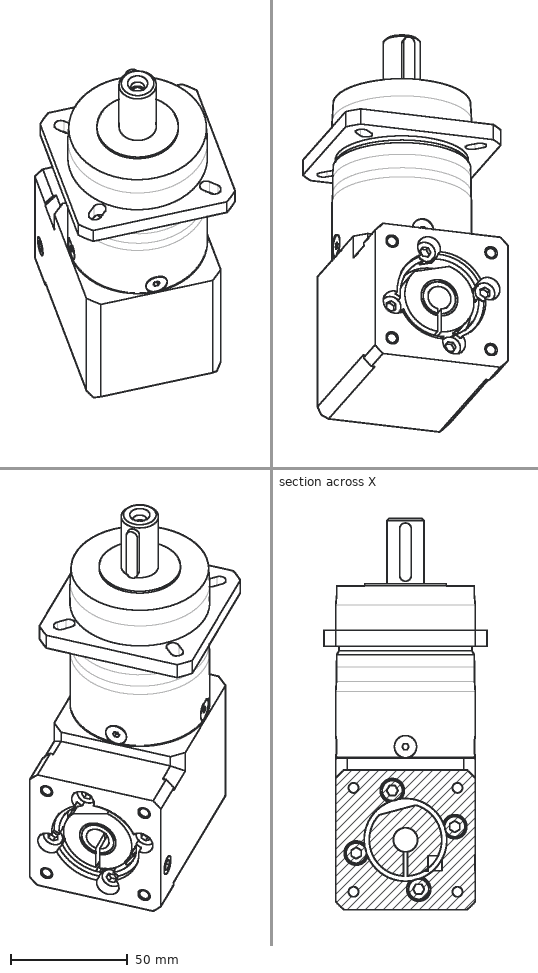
import cadquery as cq
import math


HOUSING_HALF = 30.0
HOUSING_TOP = 65.0
HOUSING_CHAMFER = 5.0
INPUT_AXIS_Z = HOUSING_HALF
SHOULDER_TOP = INPUT_AXIS_Z + HOUSING_HALF

PLATE_FRONT_X = -55.5
PLATE_THICKNESS = 16.0
PLATE_BACK_X = PLATE_FRONT_X + PLATE_THICKNESS
PLATE_CORNER_RADIUS = 40.0

BODY_RADIUS = 30.0
BAND_RADIUS = 29.7
LIP_RADIUS = 29.55
NECK_RADIUS = 28.6
SEAL_RADIUS = 17.5
LIP_TOP = HOUSING_TOP + 0.5
BODY_TOP = 93.7
BAND_BOTTOM = 98.0
BAND_TOP = 104.2
NECK_CONE_BOTTOM = 109.5
NECK_CONE_TOP = 111.1
FLANGE_BOTTOM = 113.0
FLANGE_TOP = 120.0
HEAD_STRAIGHT_TOP = 131.0
HEAD_TOP = 139.0
SEAL_TOP = 140.0

FLANGE_SIDE = 70.0
FLANGE_CORNER_RADIUS = 46.0
FLANGE_SLOT_COUNT = 4
FLANGE_SLOT_WIDTH = 5.5
FLANGE_SLOT_LENGTH = 9.5
FLANGE_SLOT_PITCH_RADIUS = 35.7

SHAFT_RADIUS = 8.0
SHAFT_TOP = 168.0
SHAFT_CHAMFER = 1.0
KEY_WIDTH = 5.0
KEY_LENGTH = 25.0
KEY_REACH = 10.1
KEY_BOTTOM = SEAL_TOP + 1.0
CENTRE_MOUTH_RADIUS = 4.3
CENTRE_GUIDE_RADIUS = 2.9
CENTRE_DRILL_RADIUS = 2.1
CENTRE_CONE_HALF_ANGLE = 30.0
CENTRE_GUIDE_DEPTH = 5.0
CENTRE_DRILL_DEPTH = 16.0
DRILL_TIP_HALF_ANGLE = 59.0

PLUG_Z = 70.0
PLUG_RADIUS = 4.75
PLUG_FACE_RADIUS = 29.5
PLUG_HEX_DIAMETER = 2.9
PLUG_HEX_DEPTH = 2.0

RECESS_RADIUS = 20.0
RECESS_DEPTH = 3.0
GAP_OUTER_RADIUS = 17.7
HUB_RADIUS = 15.6
GAP_DEPTH = 14.0
HUB_FLAT_DISTANCE = 13.3
HUB_GROOVE_OUTER = 8.25
HUB_GROOVE_INNER = 7.3
HUB_GROOVE_DEPTH = 0.2
INPUT_BORE_RADIUS = 5.15
INPUT_BORE_DEPTH = 25.0
HUB_SLOT_WIDTH = 1.7

SCREW_COUNT = 4
SCREW_START_ANGLE = 15.0
SCREW_PITCH_RADIUS = 21.9
SCREW_POCKET_RADIUS = 5.1
SCREW_POCKET_DEPTH = 8.0
SCREW_HEAD_RADIUS = 4.4
SCREW_HEAD_HEIGHT = 3.0
SCREW_HEX_DIAMETER = 4.8
SCREW_HEX_DEPTH = 2.5
MOTOR_HOLE_PITCH = 44.6
MOTOR_HOLE_RADIUS = 2.1
MOTOR_HOLE_MOUTH_RADIUS = 2.75
MOTOR_HOLE_MOUTH_TAPER = 65.0
MOTOR_HOLE_DEPTH = 12.0

ACCESS_X = -47.2
ACCESS_Z = 20.0
ACCESS_RADIUS = 4.1
ACCESS_RECESS = 0.1
ACCESS_HEX_DIAMETER = 4.8
ACCESS_HEX_DEPTH = 2.5
CLAMP_POCKET_RADIUS = 3.75
CLAMP_HEAD_RADIUS = 3.5
CLAMP_HEAD_HEIGHT = 4.0
CLAMP_HEAD_OUTER_Y = -9.7


def box_between(x0, x1, y0, y1, z0, z1):
    return cq.Workplane("XY").box(x1 - x0, y1 - y0, z1 - z0, centered=False).translate((x0, y0, z0))


def input_plane(depth=0.0):
    """Plane on the input axis, facing -X, at a depth below the plate face; local +Y is up."""
    return cq.Plane(origin=(PLATE_FRONT_X + depth, 0, INPUT_AXIS_Z), xDir=(0, -1, 0), normal=(-1, 0, 0))


def input_cylinder(radius, top, bottom):
    """Cylinder on the input axis between two depths below the plate face."""
    return cq.Workplane(input_plane(bottom)).circle(radius).extrude(bottom - top)


def housing_block(edges):
    """Plain upright block with only the selected edges chamfered."""
    block = box_between(-HOUSING_HALF, HOUSING_HALF, -HOUSING_HALF, HOUSING_HALF, 0, HOUSING_TOP)
    return block.edges(edges).chamfer(HOUSING_CHAMFER)


def make_housing():
    """Upright block and input arm of the same square section, meeting in mitred chamfers."""
    upright = housing_block("|Z").intersect(housing_block("|X and <Z")).intersect(housing_block("|Y and <Z"))
    arm = (
        box_between(PLATE_BACK_X, 0, -HOUSING_HALF, HOUSING_HALF, 0, SHOULDER_TOP)
        .edges("|X")
        .chamfer(HOUSING_CHAMFER)
    )
    return upright.union(arm)


def make_plate():
    blank = box_between(PLATE_FRONT_X, PLATE_BACK_X, -HOUSING_HALF, HOUSING_HALF, 0, SHOULDER_TOP)
    return blank.intersect(input_cylinder(PLATE_CORNER_RADIUS, 0, PLATE_THICKNESS))


def make_turned_body():
    profile = [
        (0, HOUSING_TOP),
        (LIP_RADIUS, HOUSING_TOP),
        (LIP_RADIUS, LIP_TOP),
        (BODY_RADIUS, LIP_TOP),
        (BODY_RADIUS, BODY_TOP),
        (BAND_RADIUS, BAND_BOTTOM),
        (BAND_RADIUS, BAND_TOP),
        (LIP_RADIUS, NECK_CONE_BOTTOM),
        (NECK_RADIUS, NECK_CONE_TOP),
        (NECK_RADIUS, FLANGE_BOTTOM),
        (BODY_RADIUS, FLANGE_BOTTOM),
        (BODY_RADIUS, HEAD_STRAIGHT_TOP),
        (LIP_RADIUS, HEAD_TOP),
        (SEAL_RADIUS, HEAD_TOP),
        (SEAL_RADIUS, SEAL_TOP),
        (SHAFT_RADIUS, SEAL_TOP),
        (SHAFT_RADIUS, SHAFT_TOP - SHAFT_CHAMFER),
        (SHAFT_RADIUS - SHAFT_CHAMFER, SHAFT_TOP),
        (0, SHAFT_TOP),
    ]
    return cq.Workplane("XZ").polyline(profile).close().revolve(360, (0, 0, 0), (0, 1, 0))


def make_flange():
    height = FLANGE_TOP - FLANGE_BOTTOM
    plate = cq.Workplane("XY").workplane(offset=FLANGE_BOTTOM).rect(FLANGE_SIDE, FLANGE_SIDE).extrude(height)
    disc = cq.Workplane("XY").workplane(offset=FLANGE_BOTTOM).circle(FLANGE_CORNER_RADIUS).extrude(height)
    return plate.intersect(disc)


def make_flange_slots():
    return (
        cq.Workplane("XY")
        .workplane(offset=FLANGE_BOTTOM)
        .polarArray(FLANGE_SLOT_PITCH_RADIUS, 45, 360, FLANGE_SLOT_COUNT)
        .slot2D(FLANGE_SLOT_LENGTH, FLANGE_SLOT_WIDTH)
        .extrude(FLANGE_TOP - FLANGE_BOTTOM)
    )


def make_key():
    return (
        cq.Workplane("YZ")
        .center(0, KEY_BOTTOM + KEY_LENGTH / 2)
        .slot2D(KEY_LENGTH, KEY_WIDTH, 90)
        .extrude(-KEY_REACH)
    )


def make_centre_hole():
    cone_depth = (CENTRE_MOUTH_RADIUS - CENTRE_GUIDE_RADIUS) / math.tan(math.radians(CENTRE_CONE_HALF_ANGLE))
    tip_depth = CENTRE_DRILL_RADIUS / math.tan(math.radians(DRILL_TIP_HALF_ANGLE))
    profile = [
        (0, SHAFT_TOP),
        (CENTRE_MOUTH_RADIUS, SHAFT_TOP),
        (CENTRE_GUIDE_RADIUS, SHAFT_TOP - cone_depth),
        (CENTRE_GUIDE_RADIUS, SHAFT_TOP - CENTRE_GUIDE_DEPTH),
        (CENTRE_DRILL_RADIUS, SHAFT_TOP - CENTRE_GUIDE_DEPTH),
        (CENTRE_DRILL_RADIUS, SHAFT_TOP - CENTRE_DRILL_DEPTH),
        (0, SHAFT_TOP - CENTRE_DRILL_DEPTH - tip_depth),
    ]
    return cq.Workplane("XZ").polyline(profile).close().revolve(360, (0, 0, 0), (0, 1, 0))


def make_plug_cuts():
    """Four flat plug faces with hexagon sockets, 90 degrees apart around the body."""
    face = cq.Plane(origin=(0, -PLUG_FACE_RADIUS, PLUG_Z), xDir=(1, 0, 0), normal=(0, -1, 0))
    spot = cq.Workplane(face).circle(PLUG_RADIUS).extrude(BODY_RADIUS - PLUG_FACE_RADIUS)
    socket = cq.Workplane(face).polygon(6, PLUG_HEX_DIAMETER).extrude(-PLUG_HEX_DEPTH)
    single = spot.union(socket)
    cuts = single
    for quarter in range(1, 4):
        cuts = cuts.union(single.rotate((0, 0, 0), (0, 0, 1), 90 * quarter))
    return cuts


def make_hub_cuts():
    """Recess, clearance gap around the clamp hub, face groove, bore and clamping slot."""
    recess = input_cylinder(RECESS_RADIUS, 0, RECESS_DEPTH)
    hub = input_cylinder(HUB_RADIUS, RECESS_DEPTH, GAP_DEPTH)
    flat = (
        cq.Workplane(input_plane(GAP_DEPTH))
        .center(0, HUB_FLAT_DISTANCE - HUB_RADIUS)
        .rect(2 * HUB_RADIUS, 2 * HUB_RADIUS)
        .extrude(GAP_DEPTH - RECESS_DEPTH)
        .rotate((0, 0, INPUT_AXIS_Z), (-1, 0, INPUT_AXIS_Z), SCREW_START_ANGLE)
    )
    gap = input_cylinder(GAP_OUTER_RADIUS, RECESS_DEPTH, GAP_DEPTH).cut(hub.intersect(flat))
    groove_floor = RECESS_DEPTH + HUB_GROOVE_DEPTH
    groove = input_cylinder(HUB_GROOVE_OUTER, RECESS_DEPTH, groove_floor).cut(
        input_cylinder(HUB_GROOVE_INNER, RECESS_DEPTH, groove_floor)
    )
    bore = input_cylinder(INPUT_BORE_RADIUS, RECESS_DEPTH, INPUT_BORE_DEPTH)
    slot = box_between(
        PLATE_FRONT_X + RECESS_DEPTH, PLATE_FRONT_X + GAP_DEPTH,
        -HUB_SLOT_WIDTH / 2, HUB_SLOT_WIDTH / 2,
        INPUT_AXIS_Z - GAP_OUTER_RADIUS, INPUT_AXIS_Z,
    )
    return recess.union(gap).union(groove).union(bore).union(slot)


def screw_positions():
    """Plate-face points of the adapter screws, with the turn of each."""
    for index in range(SCREW_COUNT):
        turn = index * 360 / SCREW_COUNT
        angle = math.radians(90 + SCREW_START_ANGLE + turn)
        yield SCREW_PITCH_RADIUS * math.cos(angle), SCREW_PITCH_RADIUS * math.sin(angle), turn


def make_screw_pockets():
    centres = [(across, up) for across, up, _ in screw_positions()]
    return (
        cq.Workplane(input_plane())
        .pushPoints(centres)
        .circle(SCREW_POCKET_RADIUS)
        .extrude(-SCREW_POCKET_DEPTH)
    )


def make_screw_head(across, up, turn):
    head_depth = SCREW_POCKET_DEPTH - SCREW_HEAD_HEIGHT
    head = (
        cq.Workplane(input_plane(SCREW_POCKET_DEPTH))
        .center(across, up)
        .circle(SCREW_HEAD_RADIUS)
        .extrude(SCREW_HEAD_HEIGHT)
    )
    socket = (
        cq.Workplane(input_plane(head_depth))
        .center(across, up)
        .transformed(rotate=(0, 0, turn))
        .polygon(6, SCREW_HEX_DIAMETER)
        .extrude(-SCREW_HEX_DEPTH)
    )
    return head.cut(socket)


def motor_hole_circles(radius):
    return (
        cq.Workplane(input_plane())
        .rect(MOTOR_HOLE_PITCH, MOTOR_HOLE_PITCH, forConstruction=True)
        .vertices()
        .circle(radius)
    )


def make_motor_holes():
    mouth_step = MOTOR_HOLE_MOUTH_RADIUS - MOTOR_HOLE_RADIUS
    mouth_depth = mouth_step / math.tan(math.radians(MOTOR_HOLE_MOUTH_TAPER))
    holes = motor_hole_circles(MOTOR_HOLE_RADIUS).extrude(-MOTOR_HOLE_DEPTH)
    mouths = motor_hole_circles(MOTOR_HOLE_MOUTH_RADIUS).extrude(-mouth_depth, taper=MOTOR_HOLE_MOUTH_TAPER)
    return holes.union(mouths)


def make_access_plug_cut():
    face = cq.Plane(origin=(ACCESS_X, -HOUSING_HALF, ACCESS_Z), xDir=(0, 0, 1), normal=(0, -1, 0))
    recess = cq.Workplane(face).circle(ACCESS_RADIUS).extrude(-ACCESS_RECESS)
    socket = cq.Workplane(face).polygon(6, ACCESS_HEX_DIAMETER).extrude(-ACCESS_HEX_DEPTH)
    return recess.union(socket)


def clamp_screw_cylinder(radius, inner_y, outer_y):
    """Cylinder on the clamping screw axis, between two Y positions on the -Y side."""
    seat = cq.Plane(origin=(ACCESS_X, inner_y, ACCESS_Z), xDir=(1, 0, 0), normal=(0, -1, 0))
    return cq.Workplane(seat).circle(radius).extrude(inner_y - outer_y)


def make_clamp_pocket():
    """Access to the clamping screw head from the side of the hub."""
    return clamp_screw_cylinder(CLAMP_POCKET_RADIUS, CLAMP_HEAD_OUTER_Y, -HUB_RADIUS)


def make_clamp_head():
    """Clamping screw head; its lower edge stands out of the hub into the gap."""
    return clamp_screw_cylinder(CLAMP_HEAD_RADIUS, CLAMP_HEAD_OUTER_Y + CLAMP_HEAD_HEIGHT, CLAMP_HEAD_OUTER_Y)


def make_gearbox():
    gearbox = make_housing()
    for piece in (make_plate(), make_turned_body(), make_flange(), make_key()):
        gearbox = gearbox.union(piece)
    for cutter in (
        make_flange_slots(),
        make_centre_hole(),
        make_plug_cuts(),
        make_hub_cuts(),
        make_clamp_pocket(),
        make_screw_pockets(),
        make_motor_holes(),
        make_access_plug_cut(),
    ):
        gearbox = gearbox.cut(cutter)
    for across, up, turn in screw_positions():
        gearbox = gearbox.union(make_screw_head(across, up, turn))
    return gearbox.union(make_clamp_head())


result = make_gearbox()